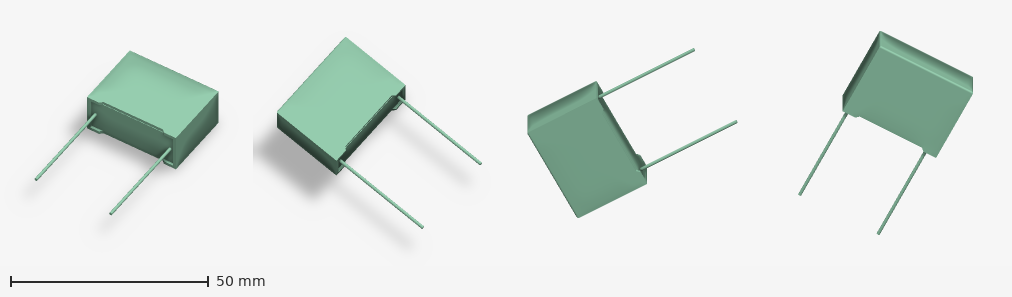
import cadquery as cq


case_width = 26.8
case_depth = 20.1
case_height = 11.21
wall = 0.9
back_fillet = 0.5

notch_depth = 0.8
notch_bottom_width = 17.9
notch_mouth_width = notch_bottom_width + 2 * notch_depth

fill_recess = 0.68
cavity_width = case_width - 2 * wall
cavity_height = case_height - 2 * wall

lead_diameter = 0.85
lead_pitch = 22.5
lead_reach = 27.0


def box_along_y(width, height, front, back):
    """Box centred in X and Z that runs from Y = front to Y = back."""
    return cq.Workplane("XY").box(width, back - front, height).translate((0, (front + back) / 2, 0))


def make_case():
    shell = box_along_y(case_width, case_height, 0, case_depth)
    shell = shell.faces(">Y").edges().fillet(back_fillet)
    cavity = box_along_y(cavity_width, cavity_height, 0, case_depth - wall)
    notch = (
        cq.Workplane("XY")
        .polyline([
            (-notch_mouth_width / 2, 0),
            (-notch_bottom_width / 2, notch_depth),
            (notch_bottom_width / 2, notch_depth),
            (notch_mouth_width / 2, 0),
        ])
        .close()
        .extrude(case_height / 2, both=True)
    )
    return shell.cut(cavity).cut(notch)


def make_resin_fill():
    return box_along_y(cavity_width, cavity_height, fill_recess, case_depth - wall)


def make_lead(x):
    """Round wire standing on the front face of the resin."""
    lead = cq.Workplane("XZ").circle(lead_diameter / 2).extrude(lead_reach + fill_recess)
    return lead.translate((x, fill_recess, 0))


case = make_case()
resin_fill = make_resin_fill()
leads = [make_lead(side * lead_pitch / 2) for side in (-1, 1)]

result = cq.Compound.makeCompound([
    case.val(),
    resin_fill.val(),
    *[lead.val() for lead in leads],
])